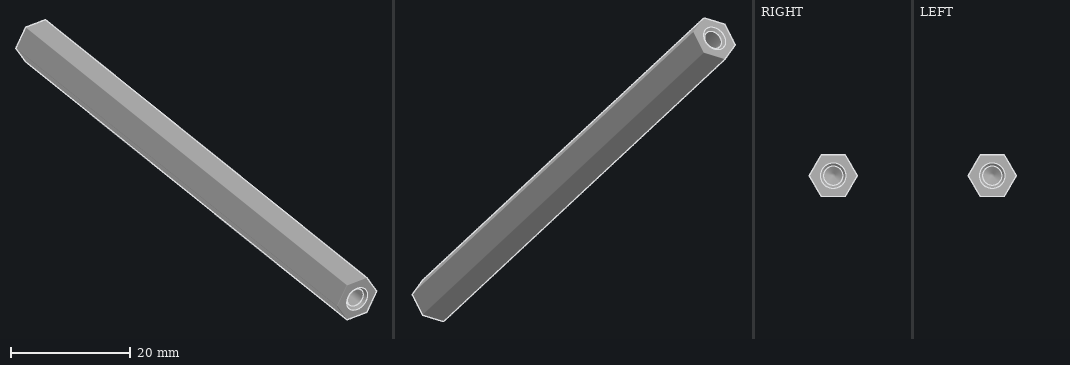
import cadquery as cq
import math

length = 95.0
across_flats = 7.0
across_corners = across_flats / math.cos(math.radians(30))

edge_radius = 0.1

bore_diameter = 3.2
bore_depth = 19.0
mouth_diameter = 4.3
drill_point_angle = 118.0
countersink_depth = (mouth_diameter - bore_diameter) / 2
drill_point_depth = bore_diameter / 2 / math.tan(math.radians(drill_point_angle / 2))

half_length = length / 2


def revolve_about_x(points):
    """Revolve a closed (x, radius) profile around the X axis."""
    return cq.Workplane("XY").polyline(points).close().revolve(360, (0, 0, 0), (1, 0, 0))


def hexagonal_bar():
    return (
        cq.Workplane("YZ")
        .polygon(6, across_corners)
        .extrude(half_length, both=True)
        .edges()
        .fillet(edge_radius)
    )


def bore():
    """Bore cutter entering from the -X end."""
    return revolve_about_x([
        (-half_length, 0),
        (-half_length, mouth_diameter / 2),
        (-half_length + countersink_depth, bore_diameter / 2),
        (-half_length + bore_depth, bore_diameter / 2),
        (-half_length + bore_depth + drill_point_depth, 0),
    ])


near_bore = bore()
far_bore = near_bore.mirror("YZ")
result = hexagonal_bar().cut(near_bore).cut(far_bore)